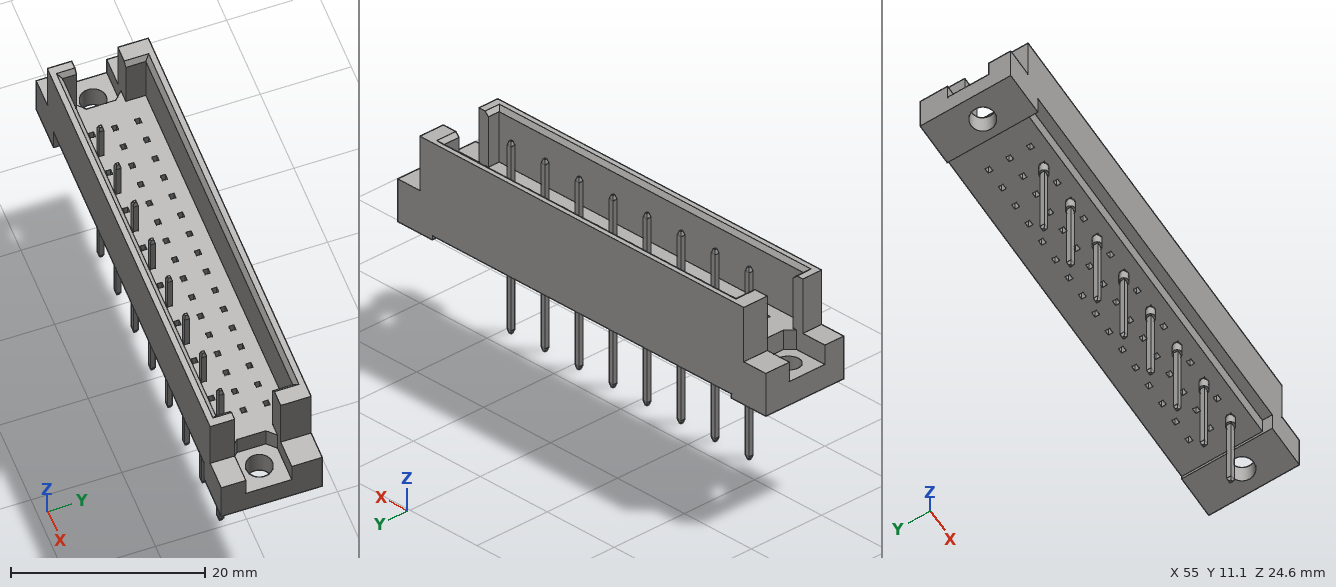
import cadquery as cq

LENGTH = 55.0
WIDTH = 11.1
HEIGHT = 11.6
SHOULDER_HEIGHT = 5.1
SHOULDER_LENGTH = 3.3
FOOT_LENGTH = 5.15
UNDERSIDE_HEIGHT = 0.5
FRONT_STEP_HEIGHT = 2.8
FRONT_STEP_DEPTH = 1.2

WALL_THICKNESS = 1.15
CAVITY_BACK_END = 5.65
CAVITY_FRONT_END = 4.75
LIP_WIDTH = 0.5
LIP_HEIGHT = 0.5

CHANNEL_FRONT = 2.7
CHANNEL_BACK = 7.75
PAD_HEIGHT = 2.8
PAD_CORNER_CHAMFER = 0.95
SCREW_HOLE_DIAMETER = 2.85
SCREW_HOLE_FROM_END = 2.8

COLUMNS = 16
ROWS = 3
COLUMN_SPAN = 38.1
PITCH = COLUMN_SPAN / (COLUMNS - 1)
PIN_WIDTH = 0.6
PIN_DEPTH = 0.55
PIN_TOP = 9.95
PIN_BOTTOM = -13.0
TIP_LENGTH = 0.5
TIP_END_SIDE = 0.3
COLLAR_DIAMETER = 1.05
COLLAR_LENGTH = 1.5

FRONT_Y = -WIDTH / 2
CHANNEL_WIDTH = CHANNEL_BACK - CHANNEL_FRONT
CHANNEL_Y = FRONT_Y + (CHANNEL_FRONT + CHANNEL_BACK) / 2
COLUMN_XS = [(i - (COLUMNS - 1) / 2) * PITCH for i in range(COLUMNS)]
ROW_YS = [(i - (ROWS - 1) / 2) * PITCH for i in range(ROWS)]
FITTED_ROW_Y = ROW_YS[0]
FITTED_XS = COLUMN_XS[1::2]


def block(length, y_min, y_max, z_min, z_max):
    """Box centred on X between the given Y and Z limits."""
    return (
        cq.Workplane("XY", origin=(0, (y_min + y_max) / 2, z_min))
        .rect(length, y_max - y_min)
        .extrude(z_max - z_min)
    )


def outer_block():
    """Full-length base with the taller shroud, cleared between the feet."""
    half_width = WIDTH / 2
    between_feet = LENGTH - 2 * FOOT_LENGTH
    base = block(LENGTH, -half_width, half_width, 0, SHOULDER_HEIGHT)
    shroud = block(LENGTH - 2 * SHOULDER_LENGTH, -half_width, half_width, SHOULDER_HEIGHT, HEIGHT)
    underside = block(between_feet, -half_width, half_width, 0, UNDERSIDE_HEIGHT)
    front_step = block(between_feet, FRONT_Y, FRONT_Y + FRONT_STEP_DEPTH, 0, FRONT_STEP_HEIGHT)
    return base.union(shroud).cut(underside).cut(front_step)


def cavity_part(end_thickness, y_min, y_max):
    """Pocket down to the cavity floor, flared outwards at the rim."""
    pocket_length = LENGTH - 2 * end_thickness
    pocket = block(pocket_length, y_min, y_max, SHOULDER_HEIGHT, HEIGHT)
    lip = (
        cq.Workplane("XY", origin=(0, (y_min + y_max) / 2, HEIGHT - LIP_HEIGHT))
        .rect(pocket_length, y_max - y_min)
        .workplane(offset=LIP_HEIGHT)
        .rect(pocket_length + 2 * LIP_WIDTH, y_max - y_min + 2 * LIP_WIDTH)
        .loft()
    )
    return pocket.union(lip)


def contact_cavity():
    """Front and back pockets, both reaching the middle of the channel, joined by the channel."""
    front = cavity_part(CAVITY_FRONT_END, FRONT_Y + WALL_THICKNESS, CHANNEL_Y)
    back = cavity_part(CAVITY_BACK_END, CHANNEL_Y, WIDTH / 2 - WALL_THICKNESS)
    channel = block(
        LENGTH, FRONT_Y + CHANNEL_FRONT, FRONT_Y + CHANNEL_BACK, SHOULDER_HEIGHT, HEIGHT
    )
    return front.union(back).union(channel)


def end_pad(side):
    """Sunken pad and screw hole at one end; side is -1 for the left end and 1 for the right."""
    recess = (
        cq.Workplane("XY", origin=(side * (LENGTH - FOOT_LENGTH) / 2, CHANNEL_Y, PAD_HEIGHT))
        .rect(FOOT_LENGTH, CHANNEL_WIDTH)
        .extrude(SHOULDER_HEIGHT - PAD_HEIGHT)
        .edges("|Z")
        .edges("<X" if side > 0 else ">X")
        .chamfer(PAD_CORNER_CHAMFER)
    )
    screw_hole = (
        cq.Workplane("XY", origin=(side * (LENGTH / 2 - SCREW_HOLE_FROM_END), CHANNEL_Y, 0))
        .circle(SCREW_HOLE_DIAMETER / 2)
        .extrude(PAD_HEIGHT)
    )
    return recess.union(screw_hole)


def contact_holes():
    """Rectangular through holes on the contact grid."""
    return (
        cq.Workplane("XY")
        .pushPoints([(x, y) for x in COLUMN_XS for y in ROW_YS])
        .rect(PIN_WIDTH, PIN_DEPTH)
        .extrude(SHOULDER_HEIGHT)
    )


def make_housing():
    body = outer_block().cut(contact_cavity())
    for side in (-1, 1):
        body = body.cut(end_pad(side))
    return body.cut(contact_holes())


def pin_tip(x, base_z, end_z):
    """Tip tapering from the full pin section at base_z to the small square end at end_z."""
    return (
        cq.Workplane("XY", origin=(x, FITTED_ROW_Y, base_z))
        .rect(PIN_WIDTH, PIN_DEPTH)
        .workplane(offset=end_z - base_z)
        .rect(TIP_END_SIDE, TIP_END_SIDE)
        .loft()
    )


def make_pin(x):
    """Rectangular pin with tapered tips and a round collar just below the feet plane."""
    shaft_bottom = PIN_BOTTOM + TIP_LENGTH
    shaft_top = PIN_TOP - TIP_LENGTH
    shaft = (
        cq.Workplane("XY", origin=(x, FITTED_ROW_Y, shaft_bottom))
        .rect(PIN_WIDTH, PIN_DEPTH)
        .extrude(shaft_top - shaft_bottom)
    )
    collar = (
        cq.Workplane("XY", origin=(x, FITTED_ROW_Y, -COLLAR_LENGTH))
        .circle(COLLAR_DIAMETER / 2)
        .extrude(COLLAR_LENGTH)
    )
    bottom_tip = pin_tip(x, shaft_bottom, PIN_BOTTOM)
    top_tip = pin_tip(x, shaft_top, PIN_TOP)
    return shaft.union(collar).union(bottom_tip).union(top_tip)


housing = make_housing()
pins = [make_pin(x) for x in FITTED_XS]

result = cq.Compound.makeCompound([housing.val(), *[pin.val() for pin in pins]])